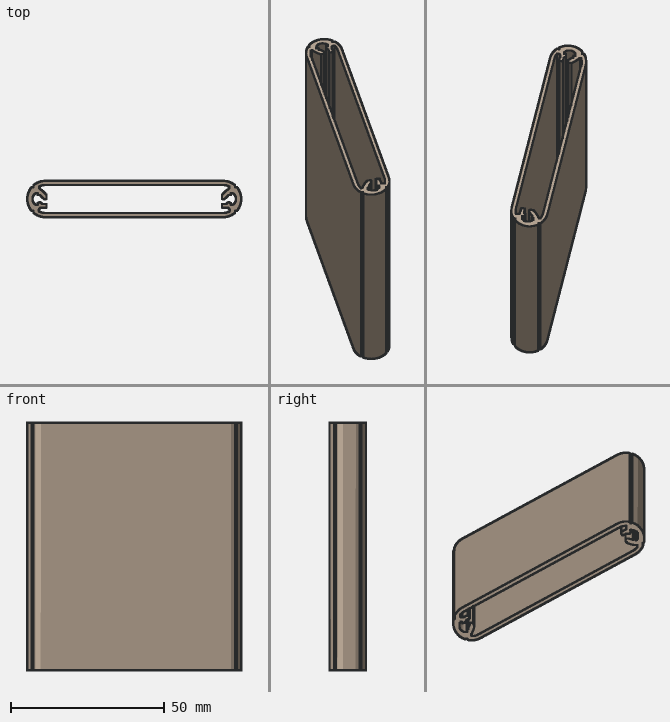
import cadquery as cq
import math

width = 70.0
depth = 12.0
height = 81.0
wall = 1.45

groove_ledge_y = 3.9
groove_side_y = 4.5

channel_half_height = 1.95
channel_back_x = -4.2
channel_arc_x = -3.0
channel_mouth_x = -2.6
channel_mouth_y = 1.3

lip_tip_x = 0.4
lower_lip_top = -1.6
lower_lip_bottom = -2.9
lip_corner = 0.25

corner_angle = 117
corner_middle = (90 + corner_angle) / 2

outer_radius = depth / 2
inner_radius = outer_radius - wall
end_x = width / 2 - outer_radius


def circle_x(radius, y):
    """Horizontal distance from a circle's centre to its edge at height y."""
    return math.sqrt(radius**2 - y**2)


def end_point(x, y):
    """Point measured from the left end-radius centre."""
    return (x - end_x, y)


def inner_arc_point(angle):
    """Point on the left inner end arc, angle measured from +X."""
    turn = math.radians(angle)
    return end_point(inner_radius * math.cos(turn), inner_radius * math.sin(turn))


def outer_body():
    profile = cq.Workplane("XY").slot2D(width, depth)
    return profile.extrude(height)


def edge_grooves():
    """Right-angled steps cut through the rounded ends, one per quadrant."""
    groove_x = end_x + circle_x(outer_radius, groove_side_y)
    cutter_size = outer_radius
    quadrant = (
        cq.Workplane("XY")
        .moveTo(groove_x, groove_ledge_y)
        .rect(cutter_size, cutter_size, centered=False)
        .extrude(height)
    )
    half = quadrant.union(quadrant.mirror("XZ"))
    return half.union(half.mirror("YZ"))


def half_cavity():
    """Left half of the hollow, running around both lips and the screw channel."""
    return (
        cq.Workplane("XY")
        .moveTo(0, inner_radius)
        .lineTo(-end_x, inner_radius)
        .threePointArc(inner_arc_point(corner_middle), inner_arc_point(corner_angle))
        .lineTo(*end_point(-2.1, 3.6))
        .threePointArc(end_point(-0.6, 2.35), end_point(lip_tip_x, 1.3))
        .lineTo(*end_point(lip_tip_x, 0.3))
        .threePointArc(end_point(0.0, -0.1), end_point(-0.5, 0.0))
        .lineTo(*end_point(-1.45, 0.8))
        .lineTo(*end_point(-1.8, channel_mouth_y))
        .lineTo(*end_point(channel_mouth_x, channel_mouth_y))
        .lineTo(*end_point(channel_mouth_x, channel_half_height))
        .lineTo(*end_point(channel_arc_x, channel_half_height))
        .threePointArc(end_point(channel_back_x, 0), end_point(channel_arc_x, -channel_half_height))
        .lineTo(*end_point(channel_mouth_x, -channel_half_height))
        .lineTo(*end_point(channel_mouth_x, -channel_mouth_y))
        .lineTo(*end_point(-1.8, -1.0))
        .lineTo(*end_point(-1.0, lower_lip_top))
        .lineTo(*end_point(lip_tip_x, lower_lip_top))
        .lineTo(*end_point(lip_tip_x, lower_lip_bottom + lip_corner))
        .lineTo(*end_point(lip_tip_x - lip_corner, lower_lip_bottom))
        .lineTo(*end_point(-1.6, lower_lip_bottom))
        .threePointArc(end_point(-2.1, -3.4), inner_arc_point(-corner_angle))
        .threePointArc(inner_arc_point(-corner_middle), end_point(0, -inner_radius))
        .lineTo(0, -inner_radius)
        .close()
        .extrude(height)
    )


left_cavity = half_cavity()
result = outer_body().cut(edge_grooves()).cut(left_cavity).cut(left_cavity.mirror("YZ"))